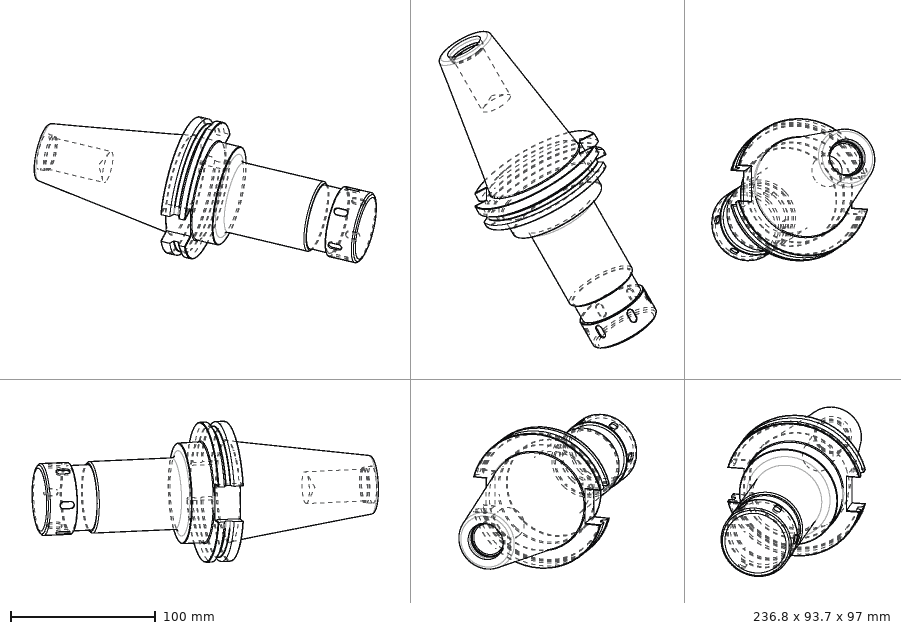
import cadquery as cq
import math

FLANGE_START = 102.8
FLANGE_END = 120.8
COLLAR_END = 136.9
SHANK_END = 201.3
NUT_START = 215.5
TOTAL_LENGTH = 236.8

GAUGE_DIA = 70.0
TAPER_RATIO = 7 / 24
FLANGE_DIA = 97.0
COLLAR_DIA = 69.8
SHANK_DIA = 49.7
NECK_DIA = 45.5

TAPER_END_FILLET = 2.1
FLANGE_CHAMFER = 0.5
FLANGE_ROOT_FILLET = 0.7
COLLAR_CHAMFER = 0.5
SHANK_FILLET = 4.7
SHANK_CHAMFER = 1.2

GROOVE_CENTER = 113.0
GROOVE_FLOOR_WIDTH = 3.3
GROOVE_FLOOR_DIA = 90.7
GROOVE_HALF_ANGLE = 30
GROOVE_FILLET = 0.5

CUT_MARGIN = 2.4

SLOT_WIDTH = 24.9
SLOT_CHAMFER = 0.5
FRONT_SLOT_FLOOR = 35.3
BACK_SLOT_FLOOR = 37.5

BORE_MOUTH_DIA = 25.8
COUNTERBORE_DIA = 25.0
MOUTH_DEPTH = 2.1
COUNTERBORE_DEPTH = 4.7
STEP_DIA = 24.2
STEP_DEPTH = 6.2
BORE_DIA = 22.0
BORE_DEPTH = 47.4
BORE_POINT_ANGLE = 118

NUT_DIA = 50.0
NUT_REAR_CHAMFER = 0.5
NUT_RIM_END = 234.9
NUT_CHAMFER = 1.2
NUT_FACE_DIA = 43.5
NUT_SLOT_COUNT = 6
NUT_SLOT_LENGTH = 10.0
NUT_SLOT_WIDTH = 5.0
NUT_SLOT_START = 217.8
NUT_SLOT_DEPTH = 1.5


def revolve_about_x(profile):
    """Turn a closed half profile, drawn as (x, radius), about the X axis."""
    return profile.close().revolve(360, (0, 0, 0), (1, 0, 0))


def make_turned_body():
    taper_length = FLANGE_START - FLANGE_ROOT_FILLET
    small_end_radius = (GAUGE_DIA - TAPER_RATIO * taper_length) / 2
    collar_radius = COLLAR_DIA / 2
    flange_radius = FLANGE_DIA / 2
    shank_radius = SHANK_DIA / 2
    profile = (
        cq.Workplane("XY")
        .lineTo(0, small_end_radius)
        .lineTo(taper_length, GAUGE_DIA / 2)
        .radiusArc((FLANGE_START, GAUGE_DIA / 2 + FLANGE_ROOT_FILLET), -FLANGE_ROOT_FILLET)
        .lineTo(FLANGE_START, flange_radius - FLANGE_CHAMFER)
        .lineTo(FLANGE_START + FLANGE_CHAMFER, flange_radius)
        .lineTo(FLANGE_END - FLANGE_CHAMFER, flange_radius)
        .lineTo(FLANGE_END, flange_radius - FLANGE_CHAMFER)
        .lineTo(FLANGE_END, collar_radius + FLANGE_ROOT_FILLET)
        .radiusArc((FLANGE_END + FLANGE_ROOT_FILLET, collar_radius), -FLANGE_ROOT_FILLET)
        .lineTo(COLLAR_END - COLLAR_CHAMFER, collar_radius)
        .lineTo(COLLAR_END, collar_radius - COLLAR_CHAMFER)
        .lineTo(COLLAR_END, shank_radius + SHANK_FILLET)
        .radiusArc((COLLAR_END + SHANK_FILLET, shank_radius), -SHANK_FILLET)
        .lineTo(SHANK_END - SHANK_CHAMFER, shank_radius)
        .lineTo(SHANK_END, shank_radius - SHANK_CHAMFER)
        .lineTo(SHANK_END, NECK_DIA / 2)
        .lineTo(NUT_START, NECK_DIA / 2)
        .lineTo(NUT_START, 0)
    )
    return revolve_about_x(profile).edges("<X").fillet(TAPER_END_FILLET)


def make_flange_groove():
    floor_radius = GROOVE_FLOOR_DIA / 2
    rim_radius = FLANGE_DIA / 2 + CUT_MARGIN
    floor_half = GROOVE_FLOOR_WIDTH / 2
    rim_half = floor_half + (rim_radius - floor_radius) * math.tan(math.radians(GROOVE_HALF_ANGLE))
    profile = (
        cq.Workplane("XY")
        .moveTo(GROOVE_CENTER - floor_half, floor_radius)
        .lineTo(GROOVE_CENTER + floor_half, floor_radius)
        .lineTo(GROOVE_CENTER + rim_half, rim_radius)
        .lineTo(GROOVE_CENTER - rim_half, rim_radius)
    )
    floor_edges = cq.selectors.RadiusNthSelector(0)
    return revolve_about_x(profile).edges(floor_edges).fillet(GROOVE_FILLET)


def make_drive_slot(side, floor):
    """Cutter on the given Y side (+1 or -1), its floor at the given distance from the axis.

    The slot widens at both flange faces to break the edges of its walls.
    """
    half = SLOT_WIDTH / 2
    wall = [
        (FLANGE_START, half + SLOT_CHAMFER),
        (FLANGE_START + SLOT_CHAMFER, half),
        (FLANGE_END - SLOT_CHAMFER, half),
        (FLANGE_END, half + SLOT_CHAMFER),
    ]
    opposite_wall = [(x, -z) for x, z in reversed(wall)]
    return (
        cq.Workplane("XZ", origin=(0, side * floor, 0))
        .polyline(wall + opposite_wall)
        .close()
        .extrude(-side * FLANGE_DIA / 2)
    )


def make_bore():
    point_length = BORE_DIA / 2 / math.tan(math.radians(BORE_POINT_ANGLE / 2))
    profile = (
        cq.Workplane("XY")
        .lineTo(0, BORE_MOUTH_DIA / 2)
        .lineTo(MOUTH_DEPTH, COUNTERBORE_DIA / 2)
        .lineTo(COUNTERBORE_DEPTH, COUNTERBORE_DIA / 2)
        .lineTo(COUNTERBORE_DEPTH, STEP_DIA / 2)
        .lineTo(STEP_DEPTH, STEP_DIA / 2)
        .lineTo(STEP_DEPTH, BORE_DIA / 2)
        .lineTo(BORE_DEPTH, BORE_DIA / 2)
        .lineTo(BORE_DEPTH - point_length, 0)
    )
    return revolve_about_x(profile)


def make_holder():
    return (
        make_turned_body()
        .cut(make_flange_groove())
        .cut(make_drive_slot(-1, FRONT_SLOT_FLOOR))
        .cut(make_drive_slot(1, BACK_SLOT_FLOOR))
        .cut(make_bore())
    )


def make_nut_slot(angle):
    """Flat-bottomed spanner slot cutter, turned about X from the -Y side."""
    return (
        cq.Workplane("XZ", origin=(NUT_SLOT_START + NUT_SLOT_LENGTH / 2, 0, 0))
        .workplane(offset=NUT_DIA / 2 - NUT_SLOT_DEPTH)
        .slot2D(NUT_SLOT_LENGTH, NUT_SLOT_WIDTH)
        .extrude(2 * NUT_SLOT_DEPTH)
        .rotate((0, 0, 0), (1, 0, 0), angle)
    )


def make_nut():
    radius = NUT_DIA / 2
    profile = (
        cq.Workplane("XY")
        .moveTo(NUT_START, 0)
        .lineTo(NUT_START, radius - NUT_REAR_CHAMFER)
        .lineTo(NUT_START + NUT_REAR_CHAMFER, radius)
        .lineTo(NUT_RIM_END, radius)
        .lineTo(NUT_RIM_END + NUT_CHAMFER, radius - NUT_CHAMFER)
        .lineTo(TOTAL_LENGTH, NUT_FACE_DIA / 2)
        .lineTo(TOTAL_LENGTH, 0)
    )
    nut = revolve_about_x(profile)
    for index in range(NUT_SLOT_COUNT):
        nut = nut.cut(make_nut_slot(index * 360 / NUT_SLOT_COUNT))
    return nut


holder = make_holder()
nut = make_nut()

result = cq.Compound.makeCompound([holder.val(), nut.val()])